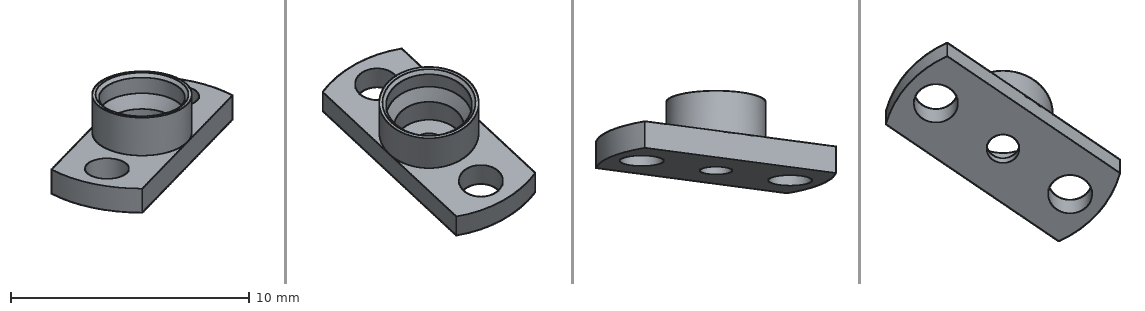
import cadquery as cq
import math

flange_width = 4.19
flange_length = 10.12
flange_thickness = 1.15

mounting_hole_diameter = 1.85
mounting_hole_offset = 3.575

total_height = 2.95
boss_diameter = flange_width

socket_diameter = 3.61
mouth_chamfer = 0.15
socket_depth = 0.895
seat_diameter = 2.95
seat_included_angle = 60.0
floor_thickness = 0.4
center_hole_diameter = 1.37


def make_flange():
    disc = cq.Workplane("XY").circle(flange_length / 2).extrude(flange_thickness)
    strip = cq.Workplane("XY").rect(flange_width, flange_length).extrude(flange_thickness)
    return disc.intersect(strip)


def make_boss():
    return cq.Workplane("XY").circle(boss_diameter / 2).extrude(total_height)


def make_mounting_holes():
    return (
        cq.Workplane("XY")
        .pushPoints([(0, mounting_hole_offset), (0, -mounting_hole_offset)])
        .circle(mounting_hole_diameter / 2)
        .extrude(flange_thickness)
    )


def make_bore():
    """Revolve the half profile of the stepped bore about the Z axis."""
    socket_radius = socket_diameter / 2
    mouth_radius = socket_radius + mouth_chamfer
    seat_radius = seat_diameter / 2
    hole_radius = center_hole_diameter / 2

    chamfer_bottom = total_height - mouth_chamfer
    socket_bottom = total_height - socket_depth
    seat_slope = math.tan(math.radians(seat_included_angle / 2))
    seat_bottom = socket_bottom - (socket_radius - seat_radius) / seat_slope

    profile = [
        (0, 0),
        (hole_radius, 0),
        (hole_radius, floor_thickness),
        (seat_radius, floor_thickness),
        (seat_radius, seat_bottom),
        (socket_radius, socket_bottom),
        (socket_radius, chamfer_bottom),
        (mouth_radius, total_height),
        (0, total_height),
    ]
    return cq.Workplane("XZ").polyline(profile).close().revolve(360, (0, 0), (0, 1))


body = make_flange().union(make_boss())
result = body.cut(make_mounting_holes()).cut(make_bore())